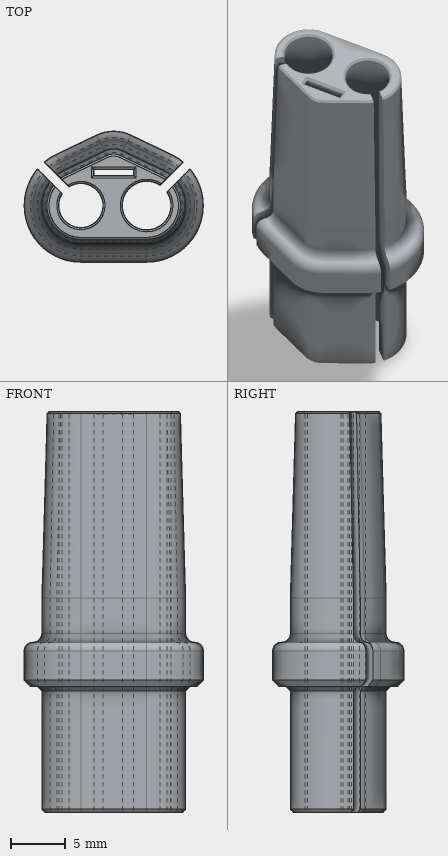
import cadquery as cq
import math

total_height = 36.5
flange_width = 16.3
flange_depth = 11.95

flange_bottom = 11.5
flange_height = 4.0
blend_radius = 0.8
flange_chamfer = 0.6
root_chamfer = 0.4

bore_offset = 3.0
apex_radius = 1.97
bottom_chamfer = 0.33
top_chamfer = 0.2
taper_start = 19.53
taper_inset = 0.47

left_bore_diameter = 4.0
right_bore_diameter = 4.4
bore_chamfer = 0.2
slit_width = 0.88
slit_angle = 45.0

slot_length = 3.6
slot_width = 0.55
slot_y = 3.0
slot_chamfer = 0.22

flange_top = flange_bottom + flange_height
flange_overhang = 2 * blend_radius
side_radius = flange_width / 2 - bore_offset - flange_overhang
apex_y = flange_depth - (side_radius + flange_overhang) - (apex_radius + flange_overhang)

belt_tilt = math.atan2(apex_y, bore_offset) - math.asin(
    (side_radius - apex_radius) / math.hypot(bore_offset, apex_y)
)


def outline(height, shift):
    """Closed outline at a height, moved outwards by shift (inwards if negative)."""
    side = side_radius + shift
    apex = apex_radius + shift
    tangent_x = math.sin(belt_tilt)
    tangent_y = math.cos(belt_tilt)
    middle_angle = -belt_tilt / 2
    middle_x = bore_offset + side * math.cos(middle_angle)
    middle_y = side * math.sin(middle_angle)
    side_end = (bore_offset + side * tangent_x, side * tangent_y)
    apex_start = (apex * tangent_x, apex_y + apex * tangent_y)
    return (
        cq.Workplane("XY", origin=(0, 0, height))
        .moveTo(-bore_offset, -side)
        .lineTo(bore_offset, -side)
        .threePointArc((middle_x, middle_y), side_end)
        .lineTo(*apex_start)
        .threePointArc((0, apex_y + apex), (-apex_start[0], apex_start[1]))
        .lineTo(-side_end[0], side_end[1])
        .threePointArc((-middle_x, middle_y), (-bore_offset, -side))
        .close()
    )


def wall_band(low, low_shift, high, high_shift):
    """Solid band whose wall leans evenly from one shift to the other."""
    lower = outline(low, low_shift).wires().val()
    upper = outline(high, high_shift).wires().val()
    return cq.Workplane(cq.Solid.makeLoft([lower, upper], True))


def prism(low, high, shift):
    """Straight-walled solid between two heights."""
    return outline(low, shift).extrude(high - low)


def make_body():
    """Straight lower body, then a tapered upper body with a chamfered top rim."""
    straight = prism(0, taper_start, 0).faces("<Z").chamfer(bottom_chamfer)
    rim_bottom = total_height - top_chamfer
    tapered = wall_band(taper_start, 0, rim_bottom, -taper_inset)
    rim = wall_band(rim_bottom, -taper_inset, total_height, -taper_inset - top_chamfer)
    return straight.union(tapered).union(rim)


def make_shoulder_fillet():
    """Concave fillet from the body wall out to the middle of the flange shoulder.

    It is rounded on an oversized plate, then trimmed where the flange rounding takes over.
    """
    plate = prism(flange_bottom, flange_top, 2 * flange_overhang)
    neck = prism(flange_top, taper_start, 0)
    neck_foot = cq.selectors.BoxSelector(
        (-flange_width / 2, -flange_depth, flange_top - blend_radius),
        (flange_width / 2, flange_depth, flange_top + blend_radius),
    )
    filleted = plate.union(neck).edges("#Z").edges(neck_foot).fillet(blend_radius)
    return filleted.intersect(prism(flange_bottom, taper_start, blend_radius))


def make_flange():
    """Collar round the body, with its blends above and its chamfers below."""
    rim = prism(flange_bottom, flange_top, flange_overhang)
    rim = rim.faces("<Z").chamfer(flange_chamfer)
    rim = rim.faces(">Z").edges().fillet(blend_radius)
    root = wall_band(flange_bottom - root_chamfer, 0, flange_bottom, root_chamfer)
    return rim.union(root).union(make_shoulder_fillet())


def make_bore(side, diameter):
    """Through bore with a chamfered mouth and a slit; side is -1 (left) or 1 (right)."""
    x = side * bore_offset
    radius = diameter / 2
    slit_direction = slit_angle if side > 0 else 180 - slit_angle
    hole = cq.Workplane("XY").center(x, 0).circle(radius).extrude(total_height)
    mouth = cq.Workplane(
        cq.Solid.makeCone(
            radius, radius + bore_chamfer, bore_chamfer,
            pnt=cq.Vector(x, 0, total_height - bore_chamfer),
        )
    )
    slit = (
        cq.Workplane("XY")
        .rect(flange_width, slit_width)
        .extrude(total_height)
        .translate((flange_width / 2, 0, 0))
        .rotate((0, 0, 0), (0, 0, 1), slit_direction)
        .translate((x, 0, 0))
    )
    return hole.union(mouth).union(slit)


def make_slot():
    """Through slot with a chamfered mouth."""
    through = cq.Workplane("XY").center(0, slot_y).rect(slot_length, slot_width).extrude(total_height)
    mouth = (
        cq.Workplane("XY", origin=(0, slot_y, total_height))
        .rect(slot_length + 2 * slot_chamfer, slot_width + 2 * slot_chamfer)
        .extrude(-slot_chamfer, taper=45)
    )
    return through.union(mouth)


result = (
    make_body()
    .union(make_flange())
    .cut(make_bore(-1, left_bore_diameter))
    .cut(make_bore(1, right_bore_diameter))
    .cut(make_slot())
)